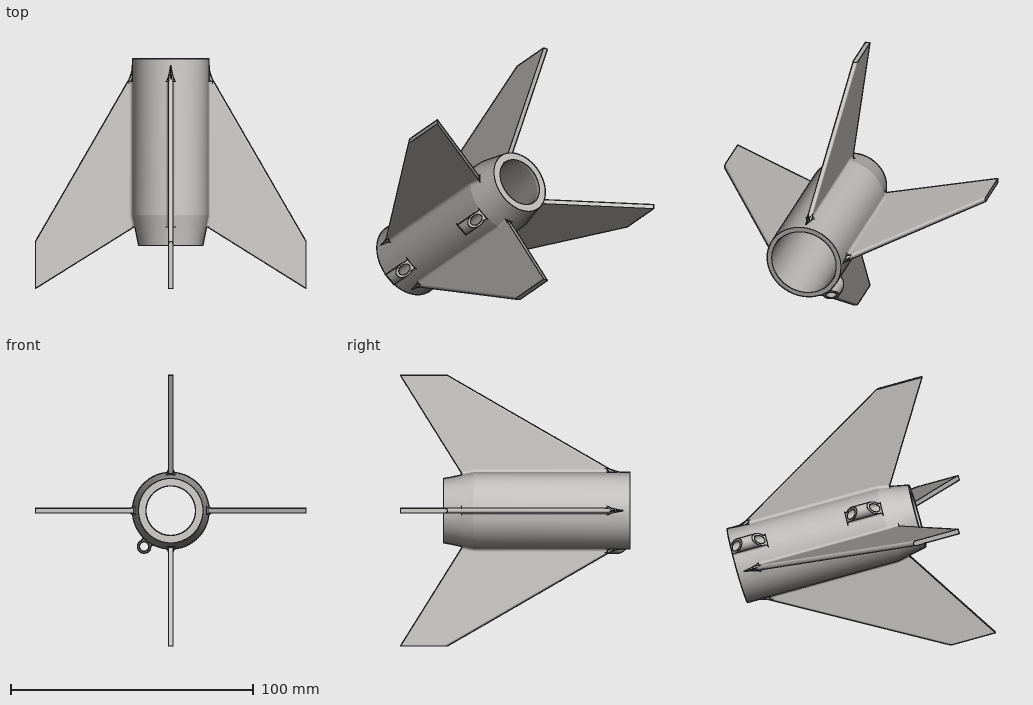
import cadquery as cq
import math

fin_span = 111.6
total_length = 94.7

fin_thickness = 2.0

tube_radius = 15.8
tail_radius = 13.3
tube_length = 77.0
tail_station = 64.4

throat_radius = 10.2
throat_length = 1.5
flare_station = 53.5
front_bore_radius = tube_radius - fin_thickness

fin_count = 4
fin_tip_radius = fin_span / 2
fin_root_radius = tail_radius
fin_tip_station = 75.3
leading_sweep = math.radians(60)
trailing_sweep = math.radians(32)
leading_edge_round = 0.84

fairing_width = 4.4
fairing_height = 1.5
fairing_end_station = 69.4
fairing_foot_sink = 0.06
root_depth = 1.1
nose_sections = (
    (2.9, 0.7, 0.1, 0.1),
    (5.8, 3.0, 0.5, 0.2),
    (7.8, 4.1, 1.1, 0.5),
    (9.5, fairing_width, fairing_height, fin_thickness),
)

lug_length = 15.2
lug_stations = (0.0, tail_station - lug_length)
lug_axis_radius = 18.4
lug_outer_radius = 2.8
lug_bore_radius = 1.9
lug_fillet = 1.0
lug_rotation = 126.6
lug_root_radius = tube_radius - root_depth

ARC_SAG = 1 - math.sqrt(0.5)


def y_at(station):
    return total_length - station


def spin(solid, angle):
    return solid.rotate((0, 0, 0), (0, 1, 0), angle)


def body_radius(station):
    """Outer radius of the tube or of its conical tail."""
    taper = (tube_radius - tail_radius) / (tube_length - tail_station)
    return tube_radius - taper * max(0, station - tail_station)


def body():
    return (
        cq.Workplane("XY")
        .moveTo(0, y_at(0))
        .lineTo(tube_radius, y_at(0))
        .lineTo(tube_radius, y_at(tail_station))
        .lineTo(tail_radius, y_at(tube_length))
        .lineTo(0, y_at(tube_length))
        .close()
        .revolve(360, (0, 0, 0), (0, 1, 0))
    )


def bore():
    return (
        cq.Workplane("XY")
        .moveTo(0, y_at(0))
        .lineTo(front_bore_radius, y_at(0))
        .lineTo(front_bore_radius, y_at(flare_station))
        .lineTo(throat_radius, y_at(tube_length - throat_length))
        .lineTo(throat_radius, y_at(tube_length))
        .lineTo(0, y_at(tube_length))
        .close()
        .revolve(360, (0, 0, 0), (0, 1, 0))
    )


def fin_plate():
    """Fin along +X, with both corners of its leading edge rounded."""
    chord = fin_tip_radius - fin_root_radius
    lead_root = fin_tip_station - chord * math.tan(leading_sweep)
    trail_root = total_length - chord * math.tan(trailing_sweep)
    plate = (
        cq.Workplane("XY")
        .moveTo(fin_root_radius, y_at(lead_root))
        .lineTo(fin_tip_radius, y_at(fin_tip_station))
        .lineTo(fin_tip_radius, y_at(total_length))
        .lineTo(fin_root_radius, y_at(trail_root))
        .close()
        .extrude(fin_thickness / 2, both=True)
    )
    leading_normal = cq.Vector(math.sin(leading_sweep), math.cos(leading_sweep), 0)
    leading_face = plate.faces(cq.selectors.DirectionMinMaxSelector(leading_normal, True))
    return leading_face.edges("#Z").fillet(leading_edge_round)


def fairing_section(station, width, height, crest_width):
    """Cross-section with concave flanks rising from the tube to the crest."""
    surface = body_radius(station)
    floor = surface - root_depth
    foot = math.sqrt(surface**2 - (width / 2) ** 2) - fairing_foot_sink
    crest = surface + height
    mid_radius = foot + ARC_SAG * (crest - foot)
    mid_half = (crest_width + ARC_SAG * (width - crest_width)) / 2
    return (
        cq.Workplane("XZ", origin=(0, y_at(station), 0))
        .moveTo(floor, -width / 2)
        .lineTo(foot, -width / 2)
        .threePointArc((mid_radius, -mid_half), (crest, -crest_width / 2))
        .lineTo(crest, crest_width / 2)
        .threePointArc((mid_radius, mid_half), (foot, width / 2))
        .lineTo(floor, width / 2)
        .close()
        .wires()
        .val()
    )


def fairing():
    full_size = (fairing_width, fairing_height, fin_thickness)
    nose = [fairing_section(*section) for section in nose_sections]
    along_tube = fairing_section(tail_station, *full_size)
    along_tail = fairing_section(fairing_end_station, *full_size)
    nose_part = cq.Solid.makeLoft(nose, False)
    straight_part = cq.Solid.makeLoft([nose[-1], along_tube, along_tail], True)
    return cq.Workplane(nose_part).union(cq.Workplane(straight_part))


def lug():
    """Ring on a filleted foot, its ends sloped at 45 degrees, with its tube axis line along +X."""
    fillet_center_radius = tube_radius + lug_fillet
    ring_to_fillet = lug_outer_radius + lug_fillet
    center_x = (fillet_center_radius**2 + lug_axis_radius**2 - ring_to_fillet**2) / (2 * lug_axis_radius)
    center_z = math.sqrt(fillet_center_radius**2 - center_x**2)
    foot_scale = tube_radius / fillet_center_radius
    foot = (center_x * foot_scale, center_z * foot_scale)
    ring_scale = lug_outer_radius / ring_to_fillet
    neck = (lug_axis_radius + (center_x - lug_axis_radius) * ring_scale, center_z * ring_scale)
    toward_corner = cq.Vector(foot[0] + neck[0] - 2 * center_x, foot[1] + neck[1] - 2 * center_z, 0).normalized()
    middle = (center_x + lug_fillet * toward_corner.x, center_z + lug_fillet * toward_corner.y)

    blank = (
        cq.Workplane("XZ")
        .moveTo(lug_root_radius, -foot[1])
        .lineTo(foot[0], -foot[1])
        .threePointArc((middle[0], -middle[1]), (neck[0], -neck[1]))
        .threePointArc((lug_axis_radius + lug_outer_radius, 0), neck)
        .threePointArc(middle, foot)
        .lineTo(lug_root_radius, foot[1])
        .close()
        .extrude(-lug_length)
    )
    hole = (
        cq.Workplane("XZ")
        .center(lug_axis_radius, 0)
        .circle(lug_bore_radius)
        .extrude(-lug_length)
    )
    top_radius = lug_axis_radius + lug_outer_radius
    slope = top_radius - tube_radius
    side_outline = (
        cq.Workplane("XY")
        .moveTo(lug_root_radius, 0)
        .lineTo(tube_radius, 0)
        .lineTo(top_radius, slope)
        .lineTo(top_radius, lug_length - slope)
        .lineTo(tube_radius, lug_length)
        .lineTo(lug_root_radius, lug_length)
        .close()
        .extrude(2 * lug_outer_radius, both=True)
    )
    return blank.intersect(side_outline).cut(hole)


part = body()

fin = fin_plate().union(fairing())
for index in range(fin_count):
    part = part.union(spin(fin, index * 360 / fin_count))

for station in lug_stations:
    placed = lug().translate((0, y_at(station + lug_length), 0))
    part = part.union(spin(placed, lug_rotation))

result = part.cut(bore())